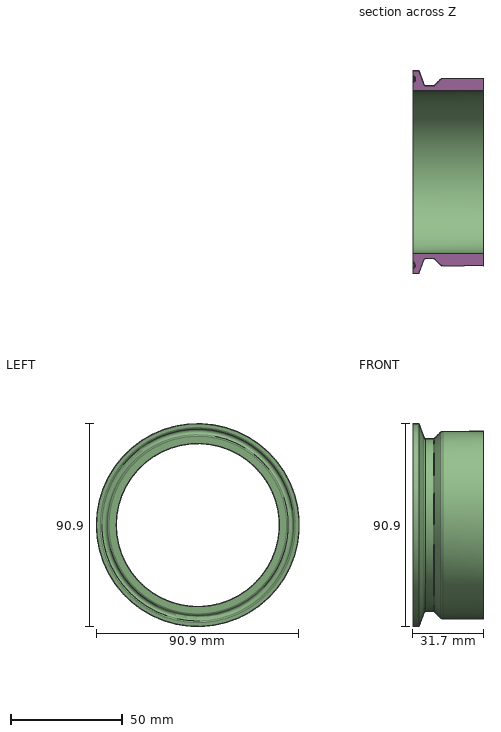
import cadquery as cq
import math

length = 31.7
flange_radius = 90.9 / 2
tube_radius = 84.1 / 2
neck_radius = 77.5 / 2
bore_radius = 72.9 / 2

rim_width = 2.8
flange_back_angle = 20
shoulder_start = 9.55
shoulder_angle = 45
neck_fillet = 0.7
shoulder_fillet = 1.55

groove_middle_radius = 41.7
groove_arc_radius = 1.4
groove_depth = 1.2
groove_lip_fillet = 0.8

flange_back_width = (flange_radius - neck_radius) * math.tan(math.radians(flange_back_angle))
neck_start = rim_width + flange_back_width
shoulder_end = shoulder_start + (tube_radius - neck_radius) / math.tan(math.radians(shoulder_angle))


def fillet_circle(body, x, radius, fillet_radius):
    """Round the circular edge of the given radius centred on the axis at x."""
    tolerance = 0.001

    def is_wanted(edge):
        return (
            edge.geomType() == "CIRCLE"
            and abs(edge.radius() - radius) < tolerance
            and abs(edge.Center().x - x) < tolerance
        )

    return body.edges().filter(is_wanted).fillet(fillet_radius)


def ferrule_body():
    """Flange, neck, shoulder and tube as one turned ring."""
    outline = cq.Workplane("XY").polyline([
        (0, bore_radius),
        (0, flange_radius),
        (rim_width, flange_radius),
        (neck_start, neck_radius),
        (shoulder_start, neck_radius),
        (shoulder_end, tube_radius),
        (length, tube_radius),
        (length, bore_radius),
    ])
    body = outline.close().revolve(360, (0, 0, 0), (1, 0, 0))
    body = fillet_circle(body, neck_start, neck_radius, neck_fillet)
    body = fillet_circle(body, shoulder_start, neck_radius, neck_fillet)
    return fillet_circle(body, shoulder_end, tube_radius, shoulder_fillet)


def cut_gasket_groove(body):
    """Cut the circular arc section out of the flange face, then round both lips."""
    arc_center_offset = groove_arc_radius - groove_depth
    groove_half_width = math.sqrt(groove_arc_radius**2 - arc_center_offset**2)
    cutter = (
        cq.Workplane("XY")
        .moveTo(0, groove_middle_radius - groove_half_width)
        .threePointArc((groove_depth, groove_middle_radius), (0, groove_middle_radius + groove_half_width))
        .close()
        .revolve(360, (0, 0, 0), (1, 0, 0))
    )
    body = body.cut(cutter)
    for side in (-1, 1):
        lip_radius = groove_middle_radius + side * groove_half_width
        body = fillet_circle(body, 0, lip_radius, groove_lip_fillet)
    return body


result = cut_gasket_groove(ferrule_body())